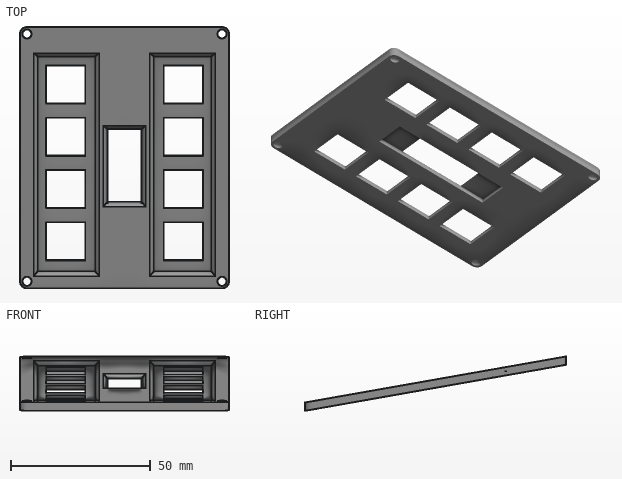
import cadquery as cq
import math

width = 75.0
length = 93.7
height = 19.6
slope_angle = 10.0
corner_radius = 2.5
screw_hole_diameter = 3.2

recess_depth = 1.5
bevel_angle = 45.0
key_recess_width = 23.5
key_recess_length = 81.15
key_recess_x = 20.8
key_recess_y = -2.5

key_size = 14.0
key_pitch = 19.0
key_rows = 4
key_x = 21.1
key_y = -2.25

window_width = 15.2
window_length = 29.4
window_y = -3.1
module_pocket_length = 46.9

slope = math.radians(slope_angle)
rise = length * math.tan(slope)
side_height = height - rise
plate_thickness = side_height * math.cos(slope)
top_center_z = side_height + rise / 2


def sloped_plane(depth=0.0):
    """Plane parallel to the top face, at a given depth below it."""
    normal = cq.Vector(0, -math.sin(slope), math.cos(slope))
    origin = cq.Vector(0, 0, top_center_z) - normal * depth
    return cq.Workplane(cq.Plane(origin=origin, xDir=(1, 0, 0), normal=normal))


def beveled_recess(x, y, recess_width, recess_length):
    """Cutter that narrows from the top face down to the recess floor."""
    outline = sloped_plane().center(x, y).rect(recess_width, recess_length)
    return outline.extrude(-recess_depth, taper=bevel_angle)


def plate():
    """Parallelogram side profile with rounded upright corners and screw holes."""
    half_length = length / 2
    profile = [
        (-half_length, 0),
        (half_length, rise),
        (half_length, height),
        (-half_length, side_height),
    ]
    wedge = cq.Workplane("YZ").polyline(profile).close().extrude(width / 2, both=True)
    wedge = wedge.edges("|Z").fillet(corner_radius)
    hole_spacing_x = width - 2 * corner_radius
    hole_spacing_y = length - 2 * corner_radius
    holes = (
        cq.Workplane("XY")
        .rect(hole_spacing_x, hole_spacing_y, forConstruction=True)
        .vertices()
        .circle(screw_hole_diameter / 2)
        .extrude(height)
    )
    return wedge.cut(holes)


def key_openings(x):
    """One column of square openings through the plate, square to its face."""
    return (
        sloped_plane()
        .center(x, key_y)
        .rarray(0.9, key_pitch, 1, key_rows)
        .rect(key_size, key_size)
        .extrude(-plate_thickness)
    )


def module_pocket():
    """Pocket in the underside, as wide as the window floor and reaching up to the window bevel."""
    bevel_inset = recess_depth * math.tan(math.radians(bevel_angle))
    pocket_width = window_width - 2 * bevel_inset
    outline = sloped_plane(recess_depth).center(0, window_y)
    return outline.rect(pocket_width, module_pocket_length).extrude(recess_depth - plate_thickness)


result = plate()
for side in (-1, 1):
    result = result.cut(beveled_recess(side * key_recess_x, key_recess_y, key_recess_width, key_recess_length))
    result = result.cut(key_openings(side * key_x))

result = result.cut(beveled_recess(0, window_y, window_width, window_length))
result = result.cut(module_pocket())